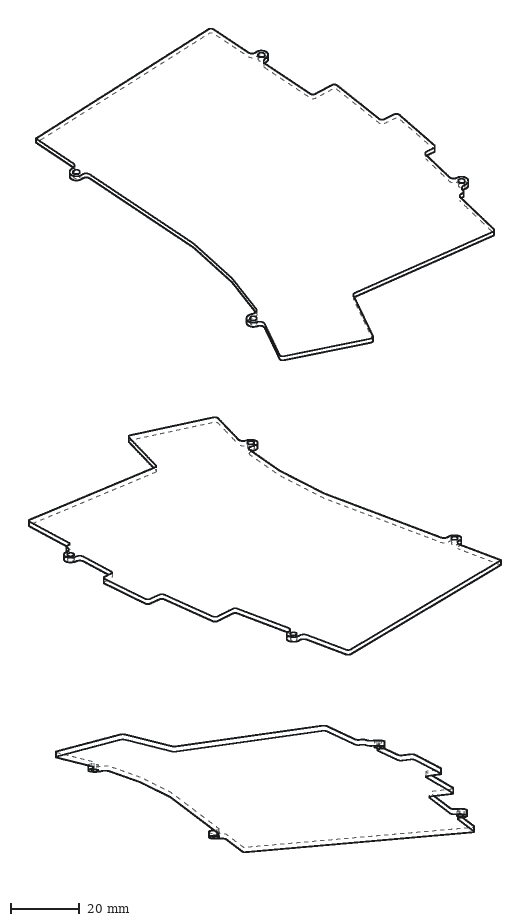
import math

import cadquery as cq


THICKNESS = 1.6
CORNER_RADIUS = 1.0

BLOCK_HEIGHT = 71.4
BLOCK_TOP_LENGTH = 42.45
BLOCK_BOTTOM_LENGTH = 66.0

FIRST_STEP_TILT = 5.0
SECOND_STEP_TILT = 7.5
RIGHT_BLOCK_TILT = 10.0
ARM_TILT = 27.0

FIRST_STEP_RISE = 8.35
FIRST_STEP_LENGTH = 21.5
SECOND_STEP_RISE = 5.75
SECOND_STEP_LENGTH = 19.1
SECOND_STEP_DROP = 4.5
SHOULDER_LENGTH = 21.4
SHOULDER_DROP = 2.45
RIGHT_BLOCK_LENGTH = 19.25
RIGHT_BLOCK_SIDE = 50.4

ARM_TOP_LENGTH = 20.8
ARM_WIDTH = 28.55
ARM_BOTTOM_LENGTH = 20.5

LOWER_BEND = (84.9, -2.85)

LUG_RADIUS = 2.0
HOLE_DIAMETER = 2.0
NECK_LENGTH = 4.0
LUG_FILLET = 1.5
LEFT_LUG_X = 19.05
NECK_DOWN = -1
NECK_UP = 1

LUGS = [
    ((LEFT_LUG_X, BLOCK_HEIGHT + 1.95), NECK_DOWN, 0),
    ((LEFT_LUG_X, -2.05), NECK_UP, 0),
    ((100.4, 75.6), NECK_DOWN, RIGHT_BLOCK_TILT),
    ((102.2, -11.0), NECK_UP, 20.0),
]

TOLERANCE = 0.05


def along(start, length, tilt):
    """Point reached by going right from start along a direction tilted clockwise."""
    angle = math.radians(tilt)
    return (start[0] + length * math.cos(angle), start[1] - length * math.sin(angle))


def across(start, height, tilt):
    """Point reached by going up from start, square to a direction tilted clockwise."""
    return along(start, height, tilt - 90)


def plate_corners():
    """Rounded and sharp corners of the plate, clockwise from the upper left, without the origin."""
    block_top_left = (0, BLOCK_HEIGHT)
    first_foot = (BLOCK_TOP_LENGTH, BLOCK_HEIGHT)
    first_left = across(first_foot, FIRST_STEP_RISE, FIRST_STEP_TILT)
    first_right = along(first_left, FIRST_STEP_LENGTH, FIRST_STEP_TILT)
    second_left = across(first_right, SECOND_STEP_RISE, SECOND_STEP_TILT)
    second_right = along(second_left, SECOND_STEP_LENGTH, SECOND_STEP_TILT)
    shoulder_left = across(second_right, -SECOND_STEP_DROP, SECOND_STEP_TILT)
    shoulder_right = along(shoulder_left, SHOULDER_LENGTH, RIGHT_BLOCK_TILT)
    right_block_left = across(shoulder_right, -SHOULDER_DROP, RIGHT_BLOCK_TILT)
    right_block_right = along(right_block_left, RIGHT_BLOCK_LENGTH, RIGHT_BLOCK_TILT)
    arm_root = across(right_block_right, -RIGHT_BLOCK_SIDE, RIGHT_BLOCK_TILT)
    arm_upper = along(arm_root, ARM_TOP_LENGTH, ARM_TILT)
    arm_lower = across(arm_upper, -ARM_WIDTH, ARM_TILT)
    arm_heel = along(arm_lower, -ARM_BOTTOM_LENGTH, ARM_TILT)
    rounded = [
        block_top_left, first_foot, first_left, first_right,
        second_left, second_right, shoulder_left, shoulder_right,
        right_block_left, right_block_right, arm_root, arm_upper, arm_lower,
    ]
    sharp = [arm_heel, LOWER_BEND, (BLOCK_BOTTOM_LENGTH, 0)]
    return rounded, sharp


def upright_edges_between(body, points, nearest, farthest):
    """Upright edges of body whose plan distance from any of the points is in the given range."""
    def is_between(edge):
        centre = edge.Center()
        return any(nearest <= math.dist((centre.x, centre.y), point) <= farthest for point in points)

    return body.newObject([edge for edge in body.edges("|Z").vals() if is_between(edge)])


def make_plate():
    """Plate with its stepped corners rounded and the flat bends of the lower edge left sharp."""
    rounded, sharp = plate_corners()
    plate = cq.Workplane("XY").polyline([(0, 0)] + rounded + sharp).close().extrude(THICKNESS)
    return upright_edges_between(plate, rounded, 0, TOLERANCE).fillet(CORNER_RADIUS)


def add_lug(body, centre, neck_direction, tilt):
    """Add a round-ended lug with a screw hole, blended into the plate edge on both sides."""
    round_end = cq.Workplane("XY").center(*centre).circle(LUG_RADIUS).extrude(THICKNESS)
    neck_left = along(centre, -LUG_RADIUS, tilt)
    neck_right = along(centre, LUG_RADIUS, tilt)
    neck_reach = neck_direction * NECK_LENGTH
    neck_outline = [
        neck_left,
        neck_right,
        across(neck_right, neck_reach, tilt),
        across(neck_left, neck_reach, tilt),
    ]
    neck = cq.Workplane("XY").polyline(neck_outline).close().extrude(THICKNESS)
    joined = body.union(round_end.union(neck))
    roots = upright_edges_between(joined, [centre], LUG_RADIUS + TOLERANCE, NECK_LENGTH)
    hole = cq.Workplane("XY").center(*centre).circle(HOLE_DIAMETER / 2).extrude(THICKNESS)
    return roots.fillet(LUG_FILLET).cut(hole)


result = make_plate()
for lug_centre, lug_neck_direction, lug_tilt in LUGS:
    result = add_lug(result, lug_centre, lug_neck_direction, lug_tilt)